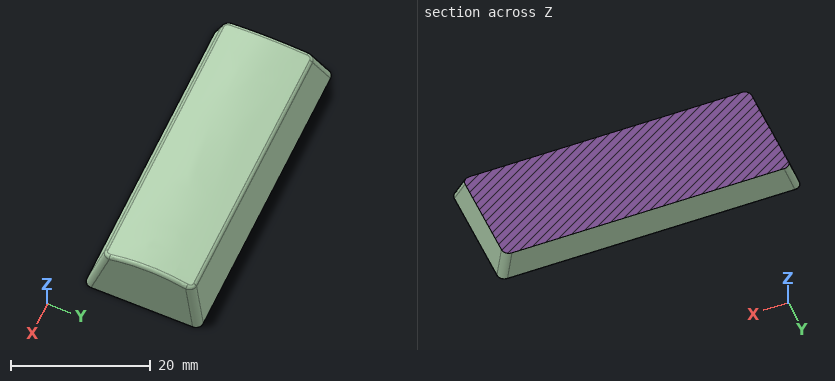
import cadquery as cq
import math

length = 46.9
width = 18.3
wall_draft = 17.5
corner_radius = 1.2

shoulder_height = 6.5
left_crown_height = 7.5
right_crown_height = 7.3
rim_radius = 0.65
trim_allowance = 0.45

half_length = length / 2
half_width = width / 2
shoulder_half_width = half_width - shoulder_height * math.tan(math.radians(wall_draft))
blank_height = left_crown_height + trim_allowance


def tapered_block():
    block = cq.Workplane("XY").rect(length, width).extrude(blank_height, taper=wall_draft)
    sloped_corners = "not (#Z or |X or |Y)"
    return block.edges(sloped_corners).fillet(corner_radius)


def arch_height(crown_height, y):
    """Height at y of the arc through the crown and both shoulders."""
    rise = crown_height - shoulder_height
    radius = (shoulder_half_width**2 + rise**2) / (2 * rise)
    return crown_height - radius + math.sqrt(radius**2 - y**2)


def arch_section(x, crown_height):
    """Closed profile across the block at x: flat base, upright sides and arched top."""
    side_height = arch_height(crown_height, half_width)
    outline = (
        cq.Workplane("YZ", origin=(x, 0, 0))
        .moveTo(-half_width, 0)
        .lineTo(half_width, 0)
        .lineTo(half_width, side_height)
        .threePointArc((0, crown_height), (-half_width, side_height))
        .close()
    )
    return outline.wires().val()


def dome_envelope():
    left_arch = arch_section(-half_length, left_crown_height)
    right_arch = arch_section(half_length, right_crown_height)
    return cq.Solid.makeLoft([left_arch, right_arch], True)


cap = tapered_block().intersect(cq.Workplane(obj=dome_envelope()))

result = cap.faces(">Z").edges().fillet(rim_radius)